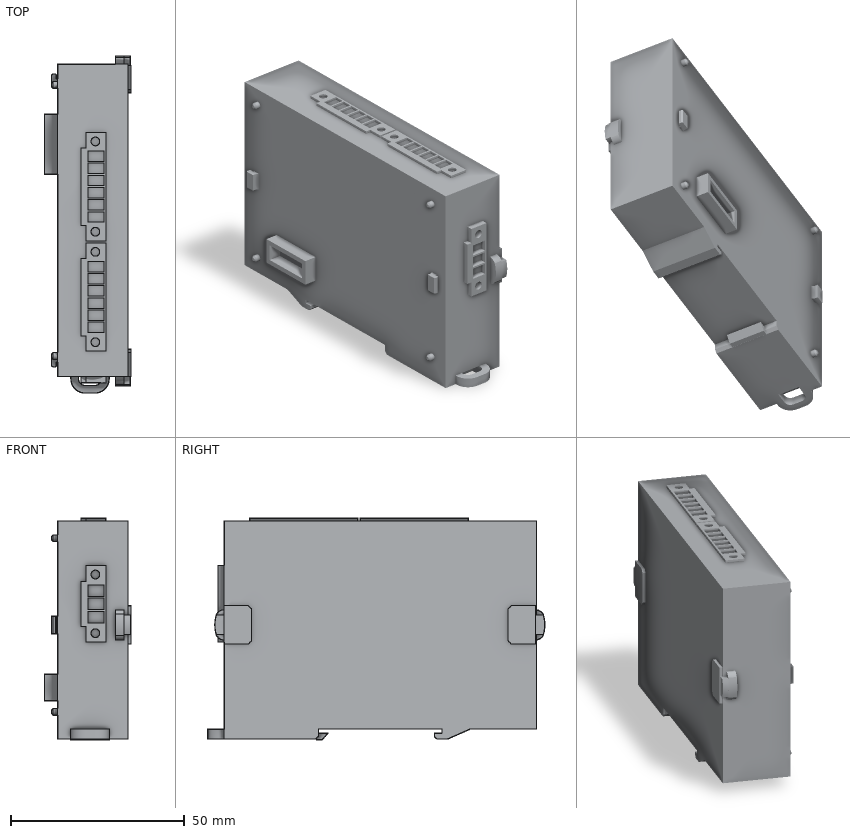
import cadquery as cq


BODY_X = 20.25
BODY_Y = 90.0
BODY_Z = 60.0
FOOT_DROP = 2.85

RAIL_FRONT_Y = 27.25
RAIL_WIDTH = 35.5
RAIL_BACK_Y = RAIL_FRONT_Y + RAIL_WIDTH
RAIL_LIP_Z = -1.1
FOOT_CHAMFER = 0.9
HOOK_REACH = 2.2
HOOK_CHAMFER = 0.7
HOOK_FLAT_END_Y = 64.4
HOOK_RAMP_END_Y = 70.85

LATCH_X = 3.75
LATCH_WIDTH = 11.1
LATCH_BOTTOM_Z = -3.1
LATCH_TIP_Y = 30.0
LATCH_BOTTOM_END_Y = 28.2
LATCH_ROOT_Y = 26.6
LOOP_REACH = 4.75
LOOP_RADIUS = 4.2
LOOP_WALL = 2.25
LOOP_OPENING_DEPTH = 3.0

BLOCK_X = 8.2
BLOCK_WIDTH = 5.65
KEY_WIDTH = 1.5
SCREW_X = 10.85
SCREW_DIAMETER = 2.5
SCREW_INSET = 2.6
POCKET_X = 8.75
POCKET_WIDTH = 4.55
TOP_BLOCK_RISE = 0.8
TOP_BLOCK_LENGTH = 31.2
TOP_KEY_LENGTH = 22.3
TOP_BLOCK_CENTERS_Y = (22.95, 54.75)
TOP_POLES = 6
TOP_PITCH = 3.5
TOP_POCKET_LENGTH = 3.0
FRONT_BLOCK_RISE = 1.75
FRONT_BLOCK_LENGTH = 22.1
FRONT_KEY_LENGTH = 12.9
FRONT_BLOCK_CENTER_Z = 36.1
FRONT_POLES = 3
FRONT_PITCH = 3.81
FRONT_POCKET_LENGTH = 3.3

SOCKET_RISE = 3.85
SOCKET_LENGTH = 17.4
SOCKET_HEIGHT = 7.7
SOCKET_WALL = 1.45
SOCKET_CENTER_Y = 66.95
SOCKET_CENTER_Z = 12.0

PIN_RISE = 1.8
PIN_DIAMETER = 2.0
PIN_CHAMFER = 0.5
PIN_INSET_Y = 6.0
PIN_INSET_Z = 5.0
LUG_RISE = 1.8
LUG_HEIGHT = 5.1
LUG_LENGTH = 3.8
LUG_INSET = 2.8
LUG_NOSE_X = 1.35
LUG_NOSE_CHAMFER = 0.3
LUG_GAP = 0.35
LUG_GAP_DEPTH = 1.4
LUG_FILLET = 0.75

LOCK_CENTER_Z = 30.05
FRONT_LOCK_INSET = 0.05
REAR_LOCK_INSET = 0.35
PLATE_RISE = 0.9
PLATE_LENGTH = 7.9
PLATE_HEIGHT = 11.1
PLATE_CHAMFER = 1.0
KNOB_REACH = 2.75
KNOB_X = 16.6
KNOB_WIDTH = 2.55
KNOB_HEIGHT = 8.7
KNOB_CREST_HEIGHT = 6.15
KNOB_CREST_RISE = 0.5
NECK_WIDTH = 1.75
NECK_HEIGHT = 5.6
NECK_SHOULDER = 0.5
LOCK_ROOT = 2.0


def box(x_size, y_size, z_size, corner):
    """Box with its lowest corner at the given point."""
    return cq.Workplane("XY").box(x_size, y_size, z_size, centered=False).translate(corner)


def mirror_end(shape):
    """The same shape at the opposite Y end of the housing."""
    return shape.mirror("XZ", (0, BODY_Y / 2, 0))


def make_housing():
    hook_tip_y = RAIL_BACK_Y - HOOK_REACH
    outline = [
        (0, -FOOT_DROP),
        (RAIL_FRONT_Y - FOOT_CHAMFER, -FOOT_DROP),
        (RAIL_FRONT_Y, FOOT_CHAMFER - FOOT_DROP),
        (RAIL_FRONT_Y, 0),
        (RAIL_BACK_Y, 0),
        (RAIL_BACK_Y, RAIL_LIP_Z),
        (hook_tip_y, RAIL_LIP_Z),
        (hook_tip_y, HOOK_CHAMFER - FOOT_DROP),
        (hook_tip_y + HOOK_CHAMFER, -FOOT_DROP),
        (HOOK_FLAT_END_Y, -FOOT_DROP),
        (HOOK_RAMP_END_Y, 0),
        (BODY_Y, 0),
        (BODY_Y, BODY_Z),
        (0, BODY_Z),
    ]
    return cq.Workplane("YZ").polyline(outline).close().extrude(BODY_X)


def make_latch():
    outline = [
        (LATCH_TIP_Y, RAIL_LIP_Z),
        (LATCH_BOTTOM_END_Y, LATCH_BOTTOM_Z),
        (LATCH_ROOT_Y, LATCH_BOTTOM_Z),
        (LATCH_ROOT_Y, RAIL_LIP_Z),
    ]
    latch = cq.Workplane("YZ").polyline(outline).close().extrude(LATCH_WIDTH)
    return latch.translate((LATCH_X, 0, 0))


def loop_blank(inset, back_y):
    """U-shaped plate from the tip of the loop to `back_y`, its curved outline shrunk by `inset`."""
    half_width = LATCH_WIDTH / 2 - inset
    radius = LOOP_RADIUS - inset
    reach = LOOP_REACH - inset
    blank = (
        cq.Workplane("XY")
        .moveTo(-half_width, back_y)
        .lineTo(-half_width, radius - reach)
        .radiusArc((radius - half_width, -reach), -radius)
        .lineTo(half_width - radius, -reach)
        .radiusArc((half_width, radius - reach), -radius)
        .lineTo(half_width, back_y)
        .close()
        .extrude(FOOT_DROP)
    )
    return blank.translate((LATCH_X + LATCH_WIDTH / 2, 0, -FOOT_DROP))


def add_loop(part):
    """Add the pull loop and open its finger hole back into the front foot."""
    return part.union(loop_blank(0, 0)).cut(loop_blank(LOOP_WALL, LOOP_OPENING_DEPTH))


def make_terminal_block(length, key_length, rise):
    """Terminal block centred on Y = 0, standing on Z = 0."""
    block = box(BLOCK_WIDTH, length, rise, (BLOCK_X, -length / 2, 0))
    key = box(KEY_WIDTH, key_length, rise, (BLOCK_X - KEY_WIDTH, -key_length / 2, 0))
    return block.union(key)


def make_block_openings(length, rise, poles, pitch, pocket_length):
    """Screw holes and wire pockets of a terminal block, as deep as the block itself."""
    screw_y = length / 2 - SCREW_INSET
    openings = (
        cq.Workplane("XY")
        .pushPoints([(SCREW_X, -screw_y), (SCREW_X, screw_y)])
        .circle(SCREW_DIAMETER / 2)
        .extrude(rise)
    )
    for pole in range(poles):
        pocket_y = (pole - (poles - 1) / 2) * pitch - pocket_length / 2
        corner = (POCKET_X, pocket_y, 0)
        openings = openings.union(box(POCKET_WIDTH, pocket_length, rise, corner))
    return openings


def onto_front(shape):
    """Turn a shape built on the top so that it stands on the front face."""
    return shape.rotate((0, 0, 0), (1, 0, 0), 90).translate((0, 0, FRONT_BLOCK_CENTER_Z))


def add_terminal_blocks(part):
    top_block = make_terminal_block(TOP_BLOCK_LENGTH, TOP_KEY_LENGTH, TOP_BLOCK_RISE)
    top_openings = make_block_openings(
        TOP_BLOCK_LENGTH, TOP_BLOCK_RISE, TOP_POLES, TOP_PITCH, TOP_POCKET_LENGTH
    )
    for center_y in TOP_BLOCK_CENTERS_Y:
        place = (0, center_y, BODY_Z)
        part = part.union(top_block.translate(place)).cut(top_openings.translate(place))

    front_block = make_terminal_block(FRONT_BLOCK_LENGTH, FRONT_KEY_LENGTH, FRONT_BLOCK_RISE)
    front_openings = make_block_openings(
        FRONT_BLOCK_LENGTH, FRONT_BLOCK_RISE, FRONT_POLES, FRONT_PITCH, FRONT_POCKET_LENGTH
    )
    return part.union(onto_front(front_block)).cut(onto_front(front_openings))


def make_socket():
    return (
        cq.Workplane("YZ", origin=(-SOCKET_RISE, SOCKET_CENTER_Y, SOCKET_CENTER_Z))
        .rect(SOCKET_LENGTH, SOCKET_HEIGHT)
        .rect(SOCKET_LENGTH - 2 * SOCKET_WALL, SOCKET_HEIGHT - 2 * SOCKET_WALL)
        .extrude(SOCKET_RISE)
    )


def make_pins():
    return (
        cq.Workplane("YZ", origin=(-PIN_RISE, BODY_Y / 2, BODY_Z / 2))
        .rect(BODY_Y - 2 * PIN_INSET_Y, BODY_Z - 2 * PIN_INSET_Z, forConstruction=True)
        .vertices()
        .circle(PIN_DIAMETER / 2)
        .extrude(PIN_RISE)
        .faces("<X")
        .chamfer(PIN_CHAMFER)
    )


def make_lug():
    """Snap lug near the front end, its nose pointing to -Y."""
    inner_y = LUG_LENGTH - LUG_FILLET
    lug = (
        cq.Workplane("XY")
        .moveTo(0, LUG_GAP_DEPTH)
        .lineTo(-LUG_GAP, LUG_GAP_DEPTH)
        .lineTo(-LUG_GAP, LUG_NOSE_CHAMFER)
        .lineTo(-LUG_GAP - LUG_NOSE_CHAMFER, 0)
        .lineTo(-LUG_NOSE_X, 0)
        .lineTo(-LUG_RISE, LUG_NOSE_CHAMFER)
        .lineTo(-LUG_RISE, inner_y)
        .lineTo(-LUG_FILLET, inner_y)
        .radiusArc((0, LUG_LENGTH), -LUG_FILLET)
        .close()
        .extrude(LUG_HEIGHT / 2, both=True)
    )
    return lug.translate((0, LUG_INSET, BODY_Z / 2))


def make_knob():
    """Rounded finger pad, its crest pointing to -Y and the plate end at Y = 0."""
    side = KNOB_HEIGHT / 2
    crest = KNOB_CREST_HEIGHT / 2
    crest_y = KNOB_CREST_RISE - KNOB_REACH
    corner_run = side - crest
    corner_radius = (corner_run**2 + crest_y**2) / (2 * corner_run)
    return (
        cq.Workplane("YZ")
        .moveTo(LOCK_ROOT, -side)
        .lineTo(0, -side)
        .radiusArc((crest_y, -crest), corner_radius)
        .threePointArc((-KNOB_REACH, 0), (crest_y, crest))
        .radiusArc((0, side), corner_radius)
        .lineTo(LOCK_ROOT, side)
        .close()
        .extrude(KNOB_WIDTH)
    )


def make_neck():
    """Bridge from the knob to the plate."""
    side = NECK_HEIGHT / 2
    shoulder_y = NECK_SHOULDER - KNOB_REACH
    return (
        cq.Workplane("YZ")
        .moveTo(LOCK_ROOT, -side)
        .lineTo(shoulder_y, -side)
        .threePointArc((-KNOB_REACH, 0), (shoulder_y, side))
        .lineTo(LOCK_ROOT, side)
        .close()
        .extrude(NECK_WIDTH)
    )


def make_plate():
    """Slide plate on the +X face, running from Y = 0 with its inner corners bevelled."""
    plate = box(PLATE_RISE, PLATE_LENGTH, PLATE_HEIGHT, (BODY_X, 0, -PLATE_HEIGHT / 2))
    return plate.faces(">Y").edges("|X").chamfer(PLATE_CHAMFER)


def make_lock(inset):
    """Slide lock at the front end, its plate starting `inset` behind the front face."""
    knob = make_knob().translate((KNOB_X, 0, 0))
    neck = make_neck().translate((KNOB_X + KNOB_WIDTH, 0, 0))
    lock = make_plate().union(knob).union(neck)
    return lock.translate((0, inset, LOCK_CENTER_Z))


result = make_housing()
result = result.union(make_latch())
result = add_loop(result)
result = add_terminal_blocks(result)
result = result.union(make_socket())
result = result.union(make_pins())
result = result.union(make_lug())
result = result.union(mirror_end(make_lug()))
result = result.union(make_lock(FRONT_LOCK_INSET))
result = result.union(mirror_end(make_lock(REAR_LOCK_INSET)))